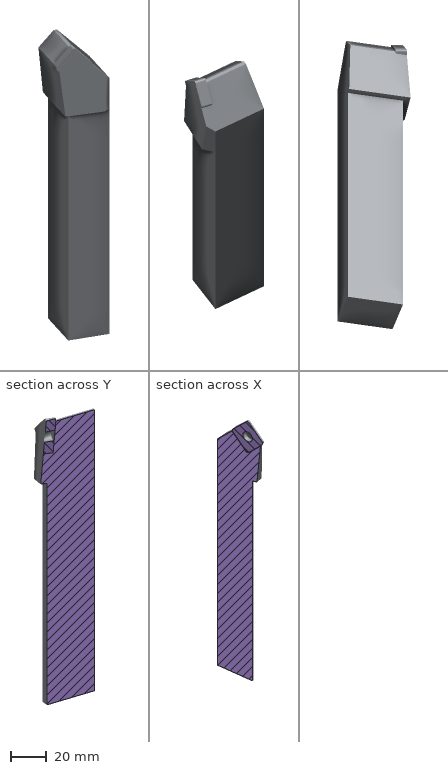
import cadquery as cq

shank_width = 32.0
shank_depth = 25.0

back_slope_start = 159.0
head_top = 178.5
ridge_front = 21.5
head_front = 30.7
ridge_back = head_top - back_slope_start
front_slope_end = head_top - (head_front - ridge_front)
shelf_height = 140.3
shelf_rise = 0.2
heel_depth = 28.0
heel_height = shelf_height + shelf_rise * (heel_depth - shank_depth)

rake_tilt = 0.095
head_width = 37.8
side_corner_depth = 5.0
side_corner_height = shelf_height + shelf_rise * (head_width - shank_width)

insert_side = 15.9
insert_thickness = 6.5
insert_corner_radius = 1.3
insert_hole_diameter = 6.3
insert_tip_x = 32.4
insert_tip_depth = 21.5
insert_tip_height = 181.3

rake_normal = (1, -rake_tilt, rake_tilt)
reach = 2 * head_top


def make_blank():
    """Side profile of shank and head, swept across the full width."""
    profile = [
        (0, 0),
        (0, back_slope_start),
        (-ridge_back, head_top),
        (-ridge_front, head_top),
        (-head_front, front_slope_end),
        (-heel_depth, heel_height),
        (-shank_depth, shelf_height),
        (-shank_depth, 0),
    ]
    return cq.Workplane("YZ").polyline(profile).close().extrude(head_width)


def make_side_envelope():
    """Shape that bounds the blank on +X: chamfered corner, rake face and sloping underside."""
    plan = [
        (0, 0),
        (shank_width, 0),
        (head_width, -side_corner_depth),
        (head_width, -head_front),
        (0, -head_front),
    ]
    corner = cq.Workplane("XY").polyline(plan).close().extrude(head_top)
    underside = [
        (0, 0),
        (shank_width, 0),
        (shank_width, shelf_height),
        (head_width, side_corner_height),
        (head_width, head_top),
        (0, head_top),
    ]
    flange = cq.Workplane("XZ").polyline(underside).close().extrude(head_front)
    rake_plane = cq.Plane(
        origin=(head_width, -side_corner_depth, side_corner_height),
        xDir=(0, 1, 1),
        normal=rake_normal,
    )
    beyond_rake = cq.Workplane(rake_plane).rect(reach, reach).extrude(head_width)
    return corner.intersect(flange).cut(beyond_rake)


def insert_face():
    """Workplane on the insert's outer face, centred on its hole."""
    face = cq.Plane(
        origin=(insert_tip_x, -insert_tip_depth, insert_tip_height),
        xDir=(0, -1, -1),
        normal=rake_normal,
    )
    return cq.Workplane(face).center(insert_side / 2, insert_side / 2)


def insert_blank():
    """Square insert without its hole, one rounded corner uppermost."""
    square = insert_face().rect(insert_side, insert_side).extrude(-insert_thickness)
    thickness_edges = cq.selectors.ParallelDirSelector(cq.Vector(*rake_normal))
    return square.edges(thickness_edges).fillet(insert_corner_radius)


def make_insert():
    """Insert with its hole running right through."""
    hole = insert_face().circle(insert_hole_diameter / 2).extrude(-insert_thickness)
    return insert_blank().cut(hole)


def make_holder():
    """Holder with a seat that matches the insert."""
    return make_blank().intersect(make_side_envelope()).cut(insert_blank())


holder = make_holder()
insert = make_insert()
result = cq.Compound.makeCompound([holder.val(), insert.val()])